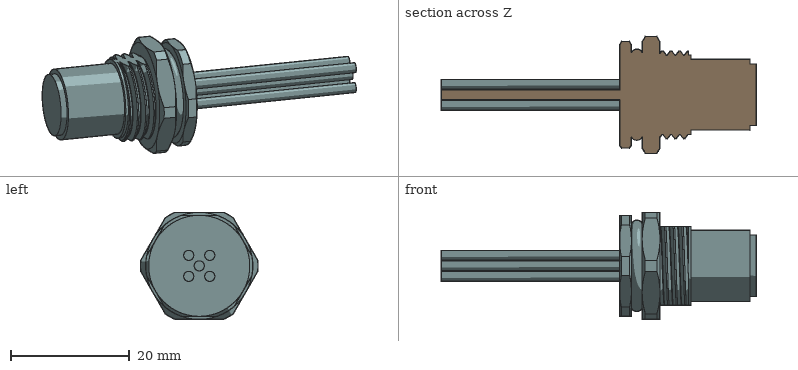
import cadquery as cq
import math


wire_length = 30.0
wire_diameter = 1.7
wire_circle_radius = 2.5

flange_thickness = 2.0
flange_across_flats = 17.0
flange_corner_radius = 9.03

ring_outer_radius = 7.7
ring_section_radius = 1.0

nut_start = 3.8
nut_thickness = 3.0
nut_across_flats = 18.0
nut_corner_radius = 9.895

hex_chamfer_angle = 30.0

thread_start = 5.4
thread_end = 11.6
thread_core_radius = 6.7
thread_crest_radius = 7.4
thread_pitch = 1.45
thread_root_width = 1.42
thread_crest_width = 0.25
thread_overlap = 0.05
thread_across_flats = 13.3
core_end = 12.05

socket_radius = 6.0
socket_end = 21.95
tip_radius = 5.2
tip_end = 23.0

thread_turns = (thread_end + thread_pitch - thread_start) / thread_pitch
ring_center_x = (flange_thickness + nut_start) / 2
ring_center_radius = ring_outer_radius - ring_section_radius


def cylinder(start, end, radius):
    """Cylinder on the X axis between two X positions."""
    return cq.Workplane("YZ", origin=(start, 0, 0)).circle(radius).extrude(end - start)


def chamfered_hexagon(start, thickness, across_flats, corner_radius):
    """Hexagon with flats facing +Z and -Z, its corners turned round and chamfered at both ends."""
    end = start + thickness
    face_radius = across_flats / 2
    chamfer_depth = (corner_radius - face_radius) * math.tan(math.radians(hex_chamfer_angle))
    corner_to_corner = across_flats / math.cos(math.pi / 6)
    hexagon = (
        cq.Workplane("YZ", origin=(start, 0, 0))
        .polygon(6, corner_to_corner)
        .extrude(thickness)
    )
    turned_blank = (
        cq.Workplane("XY")
        .moveTo(start, 0)
        .lineTo(start, face_radius)
        .lineTo(start + chamfer_depth, corner_radius)
        .lineTo(end - chamfer_depth, corner_radius)
        .lineTo(end, face_radius)
        .lineTo(end, 0)
        .close()
        .revolve(360, (0, 0, 0), (1, 0, 0))
    )
    return hexagon.intersect(turned_blank)


def wires():
    """One central wire and four around it on a circle."""
    offset = wire_circle_radius * math.cos(math.radians(45))
    centers = [(0, 0)] + [(y, z) for y in (-offset, offset) for z in (-offset, offset)]
    return (
        cq.Workplane("YZ", origin=(-wire_length, 0, 0))
        .pushPoints(centers)
        .circle(wire_diameter / 2)
        .extrude(wire_length + flange_thickness / 2)
    )


def sealing_ring():
    """Ring of round section, trimmed by the flange and nut faces it sits between."""
    ring = (
        cq.Workplane("XY")
        .moveTo(ring_center_x, ring_center_radius)
        .circle(ring_section_radius)
        .revolve(360, (0, 0, 0), (1, 0, 0))
    )
    return ring.intersect(cylinder(flange_thickness, nut_start, nut_corner_radius))


def thread_ridge():
    """Right-handed helical ridge of trapezoid section, its root sunk into the core."""
    root_radius = thread_core_radius - thread_overlap
    section_corners = [
        (root_radius, -thread_root_width / 2),
        (thread_crest_radius, -thread_crest_width / 2),
        (thread_crest_radius, thread_crest_width / 2),
        (root_radius, thread_root_width / 2),
    ]
    helices = [
        cq.Wire.makeHelix(thread_pitch, thread_turns * thread_pitch, radius, cq.Vector(0, 0, offset))
        for radius, offset in section_corners
    ]
    faces = [
        cq.Face.makeRuledSurface(helix, following)
        for helix, following in zip(helices, helices[1:] + helices[:1])
    ]
    for position in (0, 1):
        corners = [helix.positionAt(position) for helix in helices]
        faces.append(cq.Face.makeFromWires(cq.Wire.makePolygon(corners, close=True)))
    ridge = cq.Solid.makeSolid(cq.Shell.makeShell(faces)).fix()
    return (
        cq.Workplane(ridge)
        .rotate((0, 0, 0), (0, 1, 0), 90)
        .translate((thread_start, 0, 0))
    )


def threaded_section():
    """Threaded barrel with a flat on its +Z and -Z sides, ending in a plain collar."""
    clearance_width = 4 * thread_crest_radius
    thread_limit = cq.Workplane("XY").box(2 * thread_end, clearance_width, clearance_width)
    flats = cq.Workplane("XY").box(2 * core_end, clearance_width, thread_across_flats)
    core = cylinder(flange_thickness, core_end, thread_core_radius)
    return core.union(thread_ridge().intersect(thread_limit)).intersect(flats)


flange = chamfered_hexagon(0, flange_thickness, flange_across_flats, flange_corner_radius)
nut = chamfered_hexagon(nut_start, nut_thickness, nut_across_flats, nut_corner_radius)

result = (
    threaded_section()
    .union(cylinder(core_end, socket_end, socket_radius))
    .union(cylinder(socket_end, tip_end, tip_radius))
    .union(flange)
    .union(sealing_ring())
    .union(nut)
    .union(wires())
)